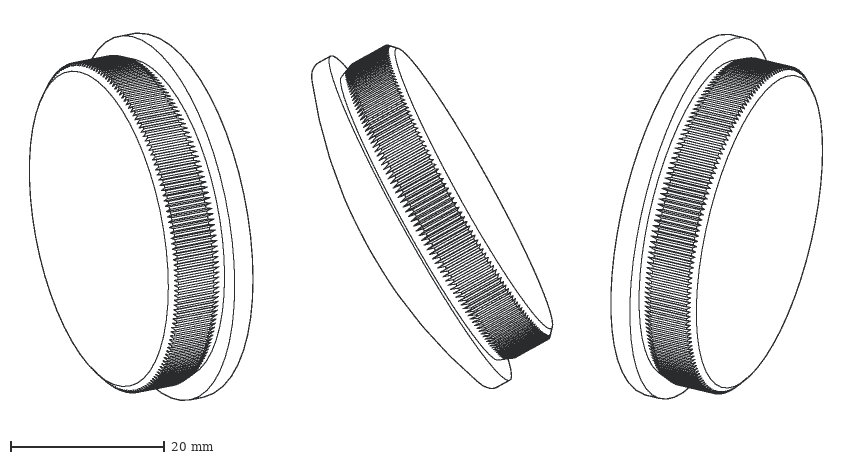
import cadquery as cq
import math

cap_radius = 24.15
total_depth = 15.5

plug_depth = 8.0
rim_depth = 1.8
rim_fillet = 1.4

neck_radius = 21.1
knurl_radius = 21.9
end_face_radius = 20.85
neck_taper_depth = 2.0
end_chamfer_depth = 0.95

tooth_count = 190
groove_depth = 0.4
groove_width = 0.4

apex_y = total_depth / 2
end_face_y = -total_depth / 2
flange_y = end_face_y + plug_depth
rim_top_y = flange_y + rim_depth


def revolve_about_y(profile):
    """Turn a closed XY half profile fully around the Y axis."""
    return profile.close().revolve(360, (0, 0, 0), (0, 1, 0))


def make_domed_flange():
    """Disc whose rim blends through a tangent rounding into a spherical dome."""
    rounding_x = cap_radius - rim_fillet
    rise = apex_y - rim_top_y - rim_fillet
    centre_distance = (rounding_x**2 + rise**2) / (2 * rise)
    dome_radius = centre_distance + rim_fillet
    dome_centre_y = apex_y - dome_radius

    tangent_angle = math.asin(rounding_x / centre_distance)
    rounding_mid_angle = (tangent_angle + math.pi / 2) / 2
    dome_mid_angle = tangent_angle / 2

    rounding_mid = (
        rounding_x + rim_fillet * math.sin(rounding_mid_angle),
        rim_top_y + rim_fillet * math.cos(rounding_mid_angle),
    )
    tangent_point = (
        rounding_x + rim_fillet * math.sin(tangent_angle),
        rim_top_y + rim_fillet * math.cos(tangent_angle),
    )
    dome_mid = (
        dome_radius * math.sin(dome_mid_angle),
        dome_centre_y + dome_radius * math.cos(dome_mid_angle),
    )
    profile = (
        cq.Workplane("XY")
        .moveTo(0, flange_y)
        .lineTo(cap_radius, flange_y)
        .lineTo(cap_radius, rim_top_y)
        .threePointArc(rounding_mid, tangent_point)
        .threePointArc(dome_mid, (0, apex_y))
    )
    return revolve_about_y(profile)


def make_plain_plug():
    """Turned plug: end chamfer, cylindrical band and a neck tapering to the flange."""
    profile = (
        cq.Workplane("XY")
        .moveTo(0, end_face_y)
        .lineTo(end_face_radius, end_face_y)
        .lineTo(knurl_radius, end_face_y + end_chamfer_depth)
        .lineTo(knurl_radius, flange_y - neck_taper_depth)
        .lineTo(neck_radius, flange_y)
        .lineTo(0, flange_y)
    )
    return revolve_about_y(profile)


def make_toothed_prism():
    """Prism along Y whose outline has straight V grooves, one of them at +Z."""
    pitch_angle = 2 * math.pi / tooth_count
    half_groove_angle = math.asin(groove_width / 2 / knurl_radius)
    root_radius = knurl_radius - groove_depth

    outline = []
    for tooth in range(tooth_count):
        groove_angle = math.pi / 2 + tooth * pitch_angle
        for radius, angle in (
            (root_radius, groove_angle),
            (knurl_radius, groove_angle + half_groove_angle),
            (knurl_radius, groove_angle + pitch_angle - half_groove_angle),
        ):
            outline.append((radius * math.cos(angle), radius * math.sin(angle)))

    return cq.Workplane("XZ", origin=(0, flange_y, 0)).polyline(outline).close().extrude(plug_depth)


knurled_plug = make_plain_plug().intersect(make_toothed_prism())
result = make_domed_flange().union(knurled_plug)